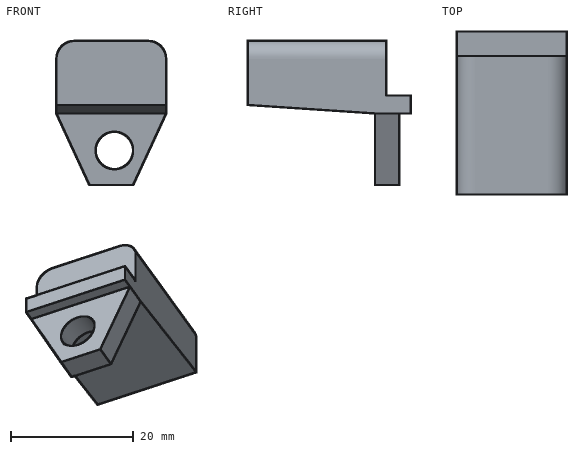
import cadquery as cq

width = 18.0
length = 26.7
total_height = 23.6
top_corner_radius = 3.0

ledge_depth = 4.0
ledge_height = 3.0

tab_height = 11.7
tab_thickness = 4.0
tab_back_inset = 1.9
tab_tip_width = 7.18

front_rise = 1.4

hole_diameter = 6.1
hole_offset = 0.5
hole_above_tip = 5.65

block_height = total_height - tab_height
front_y = -length / 2
back_y = length / 2
tab_back_y = back_y - tab_back_inset
tab_front_y = tab_back_y - tab_thickness


def make_block():
    """Stepped block with a sloped underside and rounded upper long edges."""
    step_y = back_y - ledge_depth
    side_profile = [
        (front_y, front_rise),
        (tab_front_y, 0),
        (back_y, 0),
        (back_y, ledge_height),
        (step_y, ledge_height),
        (step_y, block_height),
        (front_y, block_height),
    ]
    block = cq.Workplane("YZ").polyline(side_profile).close().extrude(width / 2, both=True)
    long_top_edges = block.faces(">Z").edges("|Y")
    return long_top_edges.fillet(top_corner_radius)


def make_tab():
    """Trapezoidal tab with a round through hole."""
    tab_plane = cq.Workplane("XZ", origin=(0, tab_back_y, 0))
    outline = [
        (-width / 2, 0),
        (width / 2, 0),
        (tab_tip_width / 2, -tab_height),
        (-tab_tip_width / 2, -tab_height),
    ]
    tab = tab_plane.polyline(outline).close().extrude(tab_thickness)
    hole = (
        tab_plane.center(hole_offset, hole_above_tip - tab_height)
        .circle(hole_diameter / 2)
        .extrude(tab_thickness)
    )
    return tab.cut(hole)


result = make_block().union(make_tab())